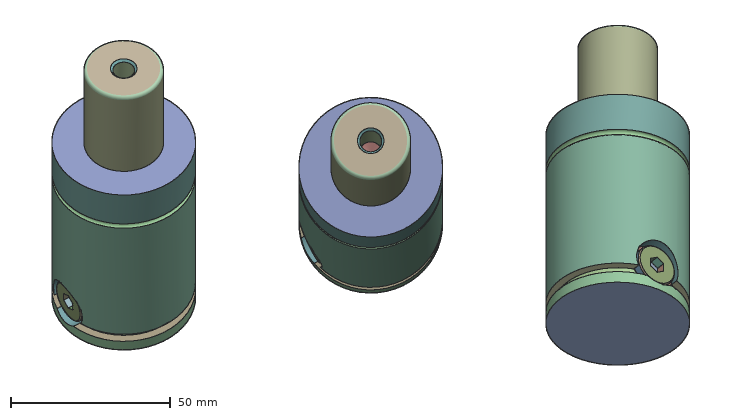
import cadquery as cq
import math

total_height = 106.0
flange_top = 4.0
neck_top = 7.3
groove_height = 57.6
body_top = 72.0

body_radius = 45.0 / 2
neck_radius = 40.0 / 2
groove_radius = 1.0
rod_radius = 25.0 / 2
rod_edge_radius = 1.1

hole_diameter = 6.8
hole_mouth_diameter = 8.3
hole_depth = 14.8
drill_point_angle = 118.0

plug_height = 10.6
recess_diameter = 16.0
recess_floor = 18.0
plug_diameter = 14.0
plug_face = 21.0
plug_chamfer = 0.4
hex_across_flats = 5.0
hex_depth = 3.2


def turned_body():
    """Base flange, neck, cylinder with a round groove, and rod."""
    return (
        cq.Workplane("XZ")
        .moveTo(0, 0)
        .lineTo(body_radius, 0)
        .lineTo(body_radius, flange_top)
        .lineTo(neck_radius, flange_top)
        .lineTo(neck_radius, neck_top)
        .lineTo(body_radius, neck_top)
        .lineTo(body_radius, groove_height - groove_radius)
        .threePointArc(
            (body_radius - groove_radius, groove_height),
            (body_radius, groove_height + groove_radius),
        )
        .lineTo(body_radius, body_top)
        .lineTo(rod_radius, body_top)
        .lineTo(rod_radius, total_height - rod_edge_radius)
        .radiusArc((rod_radius - rod_edge_radius, total_height), -rod_edge_radius)
        .lineTo(0, total_height)
        .close()
        .revolve(360, (0, 0), (0, 1))
    )


def rod_hole():
    """Countersunk blind hole with a conical drill point."""
    hole_radius = hole_diameter / 2
    mouth_radius = hole_mouth_diameter / 2
    hole_bottom = total_height - hole_depth
    point_length = hole_radius / math.tan(math.radians(drill_point_angle / 2))
    countersink_depth = mouth_radius - hole_radius
    return (
        cq.Workplane("XZ")
        .moveTo(0, hole_bottom - point_length)
        .lineTo(hole_radius, hole_bottom)
        .lineTo(hole_radius, total_height - countersink_depth)
        .lineTo(mouth_radius, total_height)
        .lineTo(0, total_height)
        .close()
        .revolve(360, (0, 0), (0, 1))
    )


def plug_plane(distance):
    """Workplane facing -Y on the plug axis, at a distance from the body axis."""
    return cq.Workplane("XZ", origin=(0, -distance, plug_height))


def recess():
    """Round recess open to the -Y side."""
    return plug_plane(recess_floor).circle(recess_diameter / 2).extrude(body_radius - recess_floor)


def plug():
    """Chamfered round plug and the cutter for its hexagon socket, one corner pointing up."""
    hex_sides = 6
    hex_corner_diameter = hex_across_flats / math.cos(math.pi / hex_sides)
    disc = (
        plug_plane(recess_floor)
        .circle(plug_diameter / 2)
        .extrude(plug_face - recess_floor)
        .faces("<Y")
        .chamfer(plug_chamfer)
    )
    socket = (
        plug_plane(plug_face)
        .transformed(rotate=(0, 0, 90))
        .polygon(hex_sides, hex_corner_diameter)
        .extrude(-hex_depth)
    )
    return disc, socket


plug_disc, plug_socket = plug()
result = turned_body().cut(rod_hole()).cut(recess()).union(plug_disc).cut(plug_socket)